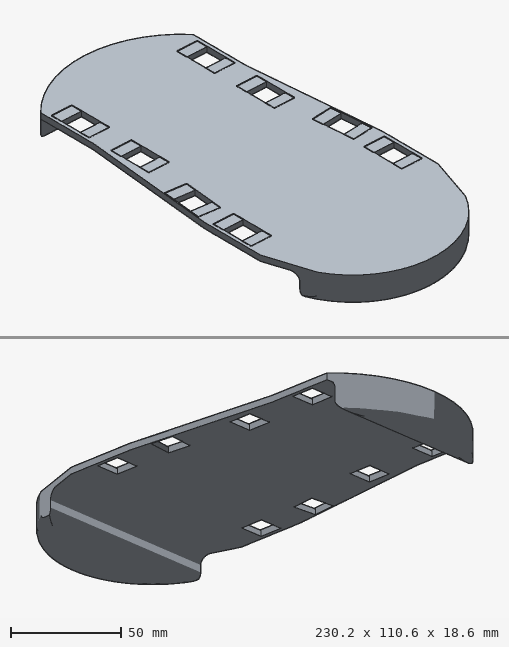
import cadquery as cq
import math

length = 230.2
plate_thickness = 3.5
heel_half_width = 47.5
toe_half_width = 55.3
heel_corner_x = 21.0
taper_start_x = 56.0
taper_end_x = 138.1
shoulder_x = 175.2
shoulder_radius = 4.5
toe_corner_x = 203.3
toe_corner_half_width = 46.0

heel_lip_length = 18.5
heel_lip_depth = 18.6
heel_root_radius = 3.5
heel_edge_radius = 4.8
toe_lip_length = 35.7
toe_lip_depth = 17.3
toe_root_radius = 4.8
toe_edge_radius = 5.3

recess_length = 25.0
slot_width = 12.7
window_length = 12.5
recess_depth = 0.5
slot_edge_margin = 2.0
taper_slot_margin = 0.7
heel_slot_xs = (38.5, 78.0)
taper_slot_x = 120.9
toe_slot_x = 154.3

taper_slope = (toe_half_width - heel_half_width) / (taper_end_x - taper_start_x)
taper_angle = math.degrees(math.atan(taper_slope))


def outline():
    """Closed outline of the plate."""
    return (
        cq.Workplane("XY")
        .moveTo(heel_corner_x, -heel_half_width)
        .lineTo(taper_start_x, -heel_half_width)
        .lineTo(taper_end_x, -toe_half_width)
        .lineTo(shoulder_x, -toe_half_width)
        .lineTo(toe_corner_x, -toe_corner_half_width)
        .threePointArc((length, 0), (toe_corner_x, toe_corner_half_width))
        .lineTo(shoulder_x, toe_half_width)
        .lineTo(taper_end_x, toe_half_width)
        .lineTo(taper_start_x, heel_half_width)
        .lineTo(heel_corner_x, heel_half_width)
        .threePointArc((0, 0), (heel_corner_x, -heel_half_width))
        .close()
    )


def plate():
    """Flat plate with its two shoulder corners rounded."""
    shoulder_corners = cq.selectors.BoxSelector(
        (shoulder_x - shoulder_radius, -length, -plate_thickness),
        (shoulder_x + shoulder_radius, length, 0),
    )
    return outline().extrude(-plate_thickness).edges("|Z").edges(shoulder_corners).fillet(shoulder_radius)


def arc_radius(depth, half_width):
    """Radius of the arc with the given depth over a chord of twice the half width."""
    return (depth**2 + half_width**2) / (2 * depth)


def lip(x_start, x_end, depth, arc_center_x, end_radius, edge_radius):
    """Disc segment under one end, rounded along its bottom edges and trimmed to the outline."""
    clip = cq.Workplane("XY").box(x_end - x_start, 2 * length, 2 * depth).translate(
        ((x_start + x_end) / 2, 0, 0)
    )
    disc = cq.Workplane("XY").center(arc_center_x, 0).circle(end_radius).extrude(-depth)
    rounded = disc.intersect(clip).faces("<Z").edges().fillet(edge_radius)
    return rounded.intersect(outline().extrude(-depth))


def root_fillet(wall_x, radius, direction):
    """Concave fillet between a lip's inner wall and the underside of the plate."""
    strip = (
        cq.Workplane("XZ")
        .moveTo(wall_x, -plate_thickness)
        .lineTo(wall_x + direction * radius, -plate_thickness)
        .radiusArc((wall_x, -plate_thickness - radius), -direction * radius)
        .close()
        .extrude(length, both=True)
    )
    return strip.intersect(outline().extrude(-length))


def slot_cutter(x, y, angle):
    """Recess and through window of one strap slot."""
    recess = cq.Workplane("XY").box(recess_length, slot_width, 2 * recess_depth)
    window = cq.Workplane("XY").box(window_length, slot_width, 4 * plate_thickness)
    return recess.union(window).rotate((0, 0, 0), (0, 0, 1), angle).translate((x, y, 0))


def slot_placements():
    """X, Y and angle of the slots on the +Y side."""
    inset = slot_edge_margin + slot_width / 2
    taper_inset = (taper_slot_margin + slot_width / 2) / math.cos(math.radians(taper_angle))
    taper_edge_y = heel_half_width + taper_slope * (taper_slot_x - taper_start_x)
    placements = [(x, heel_half_width - inset, 0) for x in heel_slot_xs]
    placements.append((taper_slot_x, taper_edge_y - taper_inset, taper_angle))
    placements.append((toe_slot_x, toe_half_width - inset, 0))
    return placements


heel_arc_radius = arc_radius(heel_corner_x, heel_half_width)
toe_arc_radius = arc_radius(length - toe_corner_x, toe_corner_half_width)
toe_wall_x = length - toe_lip_length

result = plate()
result = result.union(
    lip(0, heel_lip_length, heel_lip_depth, heel_arc_radius, heel_arc_radius, heel_edge_radius)
)
result = result.union(
    lip(toe_wall_x, length, toe_lip_depth, length - toe_arc_radius, toe_arc_radius, toe_edge_radius)
)
result = result.union(root_fillet(heel_lip_length, heel_root_radius, 1))
result = result.union(root_fillet(toe_wall_x, toe_root_radius, -1))

for slot_x, slot_y, slot_angle in slot_placements():
    result = result.cut(slot_cutter(slot_x, slot_y, slot_angle))
    result = result.cut(slot_cutter(slot_x, -slot_y, -slot_angle))